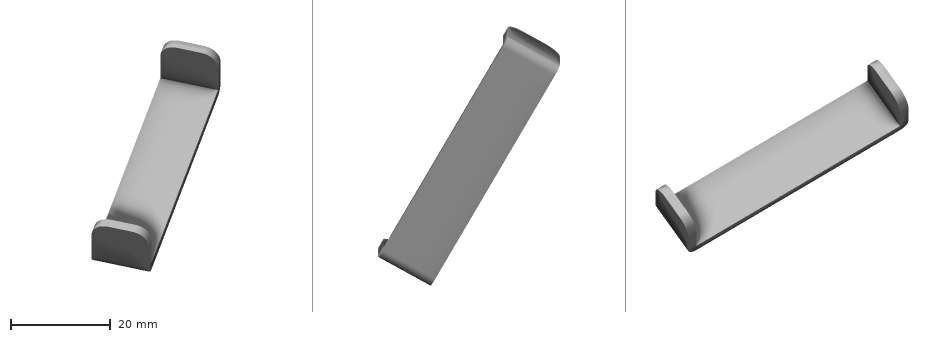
import cadquery as cq

length = 52.7
width = 12.0
height = 12.0
thickness = 2.0
bend_radius = 2.0
corner_radius = 3.5


def make_body():
    """Block with rounded lower end edges and rounded upper corners."""
    block = cq.Workplane("XY").box(width, length, height, centered=(True, True, False))
    block = block.faces("<Z").edges("|X").fillet(bend_radius)
    return block.edges("|Y and >Z").fillet(corner_radius)


def make_opening():
    """Space above the base and between the upright ends, with sharp inner corners."""
    return (
        cq.Workplane("XY")
        .workplane(offset=thickness)
        .box(width, length - 2 * thickness, height - thickness, centered=(True, True, False))
    )


result = make_body().cut(make_opening())